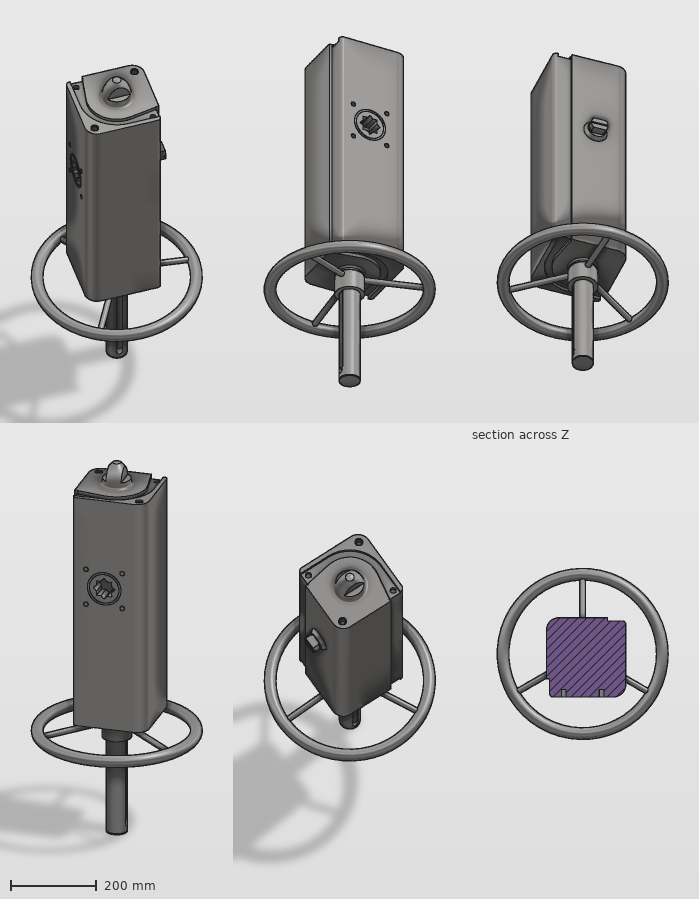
import cadquery as cq
import math


HOUSING_TOP = 223.0
HOUSING_BOTTOM = -355.0
BLOCK_NEAR = 85.0
BLOCK_FAR = 101.0
CORNER_RADIUS = 30.0
STEP_DEPTH = 7.5
STRIP_CORNER_RADIUS = 9.0

TROUGH_DEPTH = 8.5
TROUGH_INNER_RADIUS = 72.0
TROUGH_OUTER_RADIUS = 90.0
TROUGH_TAPER = math.radians(10)
TROUGH_REACH = 150.0

BOLT_SPACING = 142.5
BOLT_CENTER = (BLOCK_FAR - BLOCK_NEAR) / 2
BOLT_HEAD_DIAMETER = 18.0
BOLT_HEAD_DEPTH = 4.0
BOLT_BORE_DIAMETER = 14.0
BOLT_BORE_DEPTH = 20.0

KNOB_BASE_DIAMETER = 88.0
KNOB_RING_DIAMETER = 70.0
KNOB_DIAMETER = 66.67
KNOB_TIP_DIAMETER = 20.0
KNOB_RING_HEIGHT = 8.5
KNOB_SHOULDER_HEIGHT = 18.0
KNOB_TIP_EDGE_HEIGHT = 57.3
KNOB_HEIGHT = 59.6
KNOB_BEND_RADIUS = 21.0
KNOB_BEND_HEIGHT = 45.0
BLADE_WIDTH = 37.0

NECK_BASE_DIAMETER = 72.0
NECK_DIAMETER = 66.67
NECK_CONE_HEIGHT = 5.6
NECK_HEIGHT = 11.3

MOUNT_BOLT_SPACING = 88.4
MOUNT_BOLT_DIAMETER = 10.11
MOUNT_BOLT_MOUTH = 11.45
MOUNT_BOLT_DEPTH = 18.0
MOUNT_RING_OUTER = 82.0
MOUNT_RING_INNER = 72.0
MOUNT_RING_DEPTH = 1.0
STAR_SIDE = 36.5
STAR_DEPTH = 40.0

COLLAR_BASE_DIAMETER = 58.0
COLLAR_END_DIAMETER = 45.0
COLLAR_LENGTH = 10.0
STUB_NECK_DIAMETER = 39.0
STUB_NECK_LENGTH = 3.0
STUB_DIAMETER = 42.0
STUB_LENGTH = 29.0
STUB_ACROSS_FLATS = 29.0
STUB_SLOT_WIDTH = 4.0
STUB_SLOT_DEPTH = 4.0

WHEEL_DIAMETER = 400.0
RIM_DIAMETER = 28.0
RIM_Z = -400.0
SPOKE_DIAMETER = 14.0
SPOKE_COUNT = 3
SPOKE_RISE = 24.0
HUB_DIAMETER = 70.0
HUB_TOP = HOUSING_BOTTOM - NECK_HEIGHT
HUB_BOTTOM = RIM_Z - RIM_DIAMETER / 2

STEM_DIAMETER = 50.0
STEM_CORE_DIAMETER = 45.0
STEM_TIP_DIAMETER = 49.5
STEM_TIP_LENGTH = 3.0
STEM_BOTTOM = -654.3
KEYWAY_WIDTH = 14.0
KEYWAY_BOTTOM = -640.0
KEYWAY_WINDOW_TOP = -623.0


def cylinder(diameter, bottom, top):
    return cq.Workplane("XY").workplane(offset=bottom).circle(diameter / 2).extrude(top - bottom)


def bolt_square(workplane, spacing):
    return workplane.rect(spacing, spacing, forConstruction=True).vertices()


def make_block():
    step_x = BLOCK_NEAR - STEP_DEPTH
    step_y = TROUGH_INNER_RADIUS / math.cos(TROUGH_TAPER) - BLOCK_NEAR * math.tan(TROUGH_TAPER)
    height = HOUSING_TOP - HOUSING_BOTTOM
    block = (
        cq.Workplane("XY").workplane(offset=HOUSING_BOTTOM)
        .moveTo(-BLOCK_NEAR, -step_y)
        .lineTo(-BLOCK_NEAR, BLOCK_NEAR)
        .lineTo(step_y, BLOCK_NEAR)
        .lineTo(step_y, step_x)
        .lineTo(BLOCK_FAR, step_x)
        .lineTo(BLOCK_FAR, -BLOCK_FAR)
        .lineTo(-step_x, -BLOCK_FAR)
        .lineTo(-step_x, -step_y)
        .close()
        .extrude(height)
    )

    def upright_edge(x, y):
        return cq.selectors.NearestToPointSelector((x, y, (HOUSING_TOP + HOUSING_BOTTOM) / 2))

    for x, y in ((-BLOCK_NEAR, BLOCK_NEAR), (BLOCK_FAR, -BLOCK_FAR)):
        block = block.edges(upright_edge(x, y)).fillet(CORNER_RADIUS)
    for x, y in ((-step_x, -BLOCK_FAR), (BLOCK_FAR, step_x)):
        block = block.edges(upright_edge(x, y)).fillet(STRIP_CORNER_RADIUS)
    return block


def make_trough(bottom):
    """L-shaped trough bent around the stem, its inner side flaring away at both ends."""
    inner = TROUGH_INNER_RADIUS
    outer = TROUGH_OUTER_RADIUS
    tangent_x = inner * math.cos(TROUGH_TAPER)
    tangent_y = inner * math.sin(TROUGH_TAPER)
    end_offset = inner / math.cos(TROUGH_TAPER) - TROUGH_REACH * math.tan(TROUGH_TAPER)
    diagonal = math.sqrt(0.5)
    return (
        cq.Workplane("XY").workplane(offset=bottom)
        .moveTo(end_offset, TROUGH_REACH)
        .lineTo(tangent_x, tangent_y)
        .threePointArc((inner * diagonal, -inner * diagonal), (-tangent_y, -tangent_x))
        .lineTo(-TROUGH_REACH, -end_offset)
        .lineTo(-TROUGH_REACH, -outer)
        .lineTo(0, -outer)
        .threePointArc((outer * diagonal, -outer * diagonal), (outer, 0))
        .lineTo(outer, TROUGH_REACH)
        .close()
        .extrude(TROUGH_DEPTH)
    )


def make_knob():
    base = HOUSING_TOP
    shoulder = base + KNOB_SHOULDER_HEIGHT
    cove_middle = (
        KNOB_BASE_DIAMETER / 2 - KNOB_RING_HEIGHT * math.sqrt(0.5),
        base + KNOB_RING_HEIGHT * (1 - math.sqrt(0.5)),
    )
    dome = (
        cq.Workplane("XZ")
        .moveTo(0, base)
        .lineTo(KNOB_BASE_DIAMETER / 2, base)
        .threePointArc(cove_middle, (KNOB_RING_DIAMETER / 2, base + KNOB_RING_HEIGHT))
        .spline(
            [
                (KNOB_DIAMETER / 2, shoulder),
                (KNOB_BEND_RADIUS, base + KNOB_BEND_HEIGHT),
                (KNOB_TIP_DIAMETER / 2, base + KNOB_TIP_EDGE_HEIGHT),
            ],
            includeCurrent=True,
        )
        .lineTo(0, base + KNOB_HEIGHT)
        .close()
        .revolve(360, (0, 0, 0), (0, 1, 0))
    )
    blade = (
        cq.Workplane("XY").workplane(offset=shoulder)
        .rect(BLADE_WIDTH, KNOB_BASE_DIAMETER)
        .extrude(KNOB_HEIGHT)
    )
    return dome.intersect(blade.union(cylinder(KNOB_BASE_DIAMETER, base, shoulder)))


def make_neck():
    cone_bottom = HOUSING_BOTTOM - NECK_CONE_HEIGHT
    return (
        cq.Workplane("XZ")
        .moveTo(0, HOUSING_BOTTOM)
        .lineTo(NECK_BASE_DIAMETER / 2, HOUSING_BOTTOM)
        .lineTo(NECK_DIAMETER / 2, cone_bottom)
        .lineTo(NECK_DIAMETER / 2, HUB_TOP)
        .lineTo(0, HUB_TOP)
        .close()
        .revolve(360, (0, 0, 0), (0, 1, 0))
    )


def make_drive_stub():
    """Collar and flatted shaft end, drawn as radius against Y and turned about the Y axis."""
    collar_end = BLOCK_NEAR + COLLAR_LENGTH
    neck_end = collar_end + STUB_NECK_LENGTH
    stub_end = BLOCK_NEAR + STUB_LENGTH
    stub_slot_bottom = stub_end - STUB_SLOT_DEPTH
    turned = (
        cq.Workplane("XY")
        .moveTo(0, BLOCK_NEAR)
        .lineTo(COLLAR_BASE_DIAMETER / 2, BLOCK_NEAR)
        .lineTo(COLLAR_END_DIAMETER / 2, collar_end)
        .lineTo(STUB_NECK_DIAMETER / 2, collar_end)
        .lineTo(STUB_NECK_DIAMETER / 2, neck_end)
        .lineTo(STUB_DIAMETER / 2, neck_end)
        .lineTo(STUB_DIAMETER / 2, stub_end)
        .lineTo(0, stub_end)
        .close()
        .revolve(360, (0, 0, 0), (0, 1, 0))
    )
    flats = (
        cq.Workplane("XZ").workplane(offset=-collar_end)
        .rect(2 * STUB_DIAMETER, 2 * STUB_DIAMETER)
        .rect(2 * STUB_DIAMETER, STUB_ACROSS_FLATS)
        .extrude(collar_end - stub_end)
    )
    slot = (
        cq.Workplane("XZ").workplane(offset=-stub_slot_bottom)
        .rect(2 * STUB_DIAMETER, STUB_SLOT_WIDTH)
        .extrude(-STUB_SLOT_DEPTH)
    )
    return turned.cut(flats).cut(slot)


def cut_end_bolts(block, face, depth_sign):
    plane = cq.Workplane("XY").workplane(offset=face).center(BOLT_CENTER, -BOLT_CENTER)
    heads = bolt_square(plane, BOLT_SPACING).circle(BOLT_HEAD_DIAMETER / 2)
    block = block.cut(heads.extrude(depth_sign * BOLT_HEAD_DEPTH))
    bores = bolt_square(plane, BOLT_SPACING).circle(BOLT_BORE_DIAMETER / 2)
    return block.cut(bores.extrude(depth_sign * BOLT_BORE_DEPTH))


def cut_drive_mount(block):
    face = cq.Workplane("XZ").workplane(offset=BLOCK_FAR)
    bolts = bolt_square(face, MOUNT_BOLT_SPACING).circle(MOUNT_BOLT_DIAMETER / 2)
    block = block.cut(bolts.extrude(-MOUNT_BOLT_DEPTH))
    mouth_depth = (MOUNT_BOLT_MOUTH - MOUNT_BOLT_DIAMETER) / 2
    mouths = bolt_square(face, MOUNT_BOLT_SPACING).circle(MOUNT_BOLT_MOUTH / 2)
    block = block.cut(mouths.extrude(-mouth_depth, taper=45))
    ring = face.circle(MOUNT_RING_OUTER / 2).circle(MOUNT_RING_INNER / 2)
    block = block.cut(ring.extrude(-MOUNT_RING_DEPTH))
    for angle in (0, 45):
        square = face.transformed(rotate=(0, 0, angle)).rect(STAR_SIDE, STAR_SIDE)
        block = block.cut(square.extrude(-STAR_DEPTH))
    return block


def make_housing():
    block = make_block()
    block = block.cut(make_trough(HOUSING_TOP - TROUGH_DEPTH))
    block = block.cut(make_trough(HOUSING_BOTTOM))
    block = cut_end_bolts(block, HOUSING_TOP, -1)
    block = cut_drive_mount(block)
    return block.union(make_knob()).union(make_neck()).union(make_drive_stub())


def make_spoke(rim_radius):
    """Spoke towards +Y, sloping down from the hub axis side to the rim centre line."""
    hub_radius = HUB_DIAMETER / 2
    slope = SPOKE_RISE / (rim_radius - hub_radius)
    start_radius = hub_radius / 2
    start_z = RIM_Z + slope * (rim_radius - start_radius)
    direction = cq.Vector(0, 1, -slope)
    length = math.hypot(rim_radius - start_radius, start_z - RIM_Z)
    plane = cq.Plane(origin=(0, start_radius, start_z), xDir=(1, 0, 0), normal=direction.toTuple())
    return cq.Workplane(plane).circle(SPOKE_DIAMETER / 2).extrude(length)


def make_stem():
    tip_top = STEM_BOTTOM + STEM_TIP_LENGTH
    stem = cylinder(STEM_DIAMETER, tip_top, HUB_BOTTOM)
    stem = stem.union(cylinder(STEM_TIP_DIAMETER, STEM_BOTTOM, tip_top))
    keyway_round = KEYWAY_BOTTOM + KEYWAY_WIDTH / 2
    straight = HUB_BOTTOM - keyway_round
    keyway = (
        cq.Workplane("YZ").workplane(offset=-STEM_DIAMETER)
        .center(0, keyway_round)
        .circle(KEYWAY_WIDTH / 2)
        .extrude(2 * STEM_DIAMETER)
    )
    keyway = keyway.union(
        cq.Workplane("XY").workplane(offset=keyway_round)
        .rect(2 * STEM_DIAMETER, KEYWAY_WIDTH)
        .extrude(straight)
    )
    core = cylinder(STEM_CORE_DIAMETER, KEYWAY_WINDOW_TOP, HUB_BOTTOM)
    return stem.cut(keyway).union(core)


def make_handwheel():
    rim_radius = (WHEEL_DIAMETER - RIM_DIAMETER) / 2
    rim = (
        cq.Workplane("XZ")
        .moveTo(rim_radius, RIM_Z)
        .circle(RIM_DIAMETER / 2)
        .revolve(360, (0, 0, 0), (0, 1, 0))
    )
    wheel = cylinder(HUB_DIAMETER, HUB_BOTTOM, HUB_TOP)
    spoke = make_spoke(rim_radius)
    for index in range(SPOKE_COUNT):
        wheel = wheel.union(spoke.rotate((0, 0, 0), (0, 0, 1), index * 360 / SPOKE_COUNT))
    wheel = wheel.union(make_stem())
    return wheel.union(rim, clean=False)


housing = make_housing()
handwheel = make_handwheel()

result = cq.Compound.makeCompound([housing.val(), handwheel.val()])